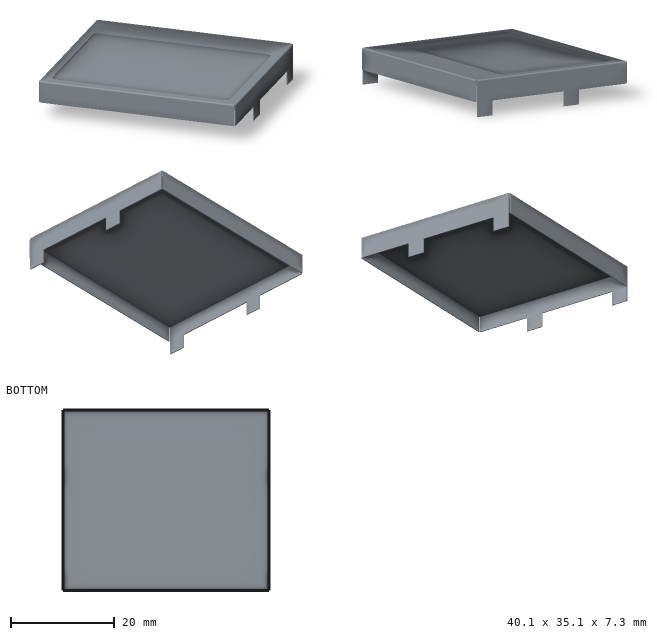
import cadquery as cq

length = 40.1
width = 35.1
height = 7.3
sheet = 0.2
bend_radius = 0.3
skirt_depth = 4.37

leg_width = 3.5
leg_pitch = 20.0
rear_leg_y = width / 2 - bend_radius - leg_width / 2
leg_centres_y = (rear_leg_y, rear_leg_y - leg_pitch)

window_margin = 1.95
window_length = length - 2 * window_margin
window_width = 26.0
window_radius = 1.0
window_y = -width / 2 + window_margin + window_width / 2

panel_thickness = 1.0
panel_length = length - 2 * bend_radius
panel_width = width - 2 * bend_radius

skirt_bottom = height - skirt_depth
ceiling = height - sheet
cavity_length = length - 2 * sheet
cavity_width = width - 2 * sheet


def block(size_x, size_y, bottom, top, y=0.0):
    """Box centred on X, between two heights."""
    return (
        cq.Workplane("XY", origin=(0, y, bottom))
        .rect(size_x, size_y)
        .extrude(top - bottom)
    )


def make_shell():
    """Folded tray, open below, with rounded bends and notched corners."""
    shell = block(length, width, skirt_bottom, height).faces(">Z").edges().fillet(bend_radius)
    cavity = block(cavity_length, cavity_width, skirt_bottom, ceiling)
    notches = (
        cq.Workplane("XY", origin=(0, 0, skirt_bottom))
        .rect(length, width, forConstruction=True)
        .vertices()
        .rect(2 * bend_radius, 2 * bend_radius)
        .extrude(skirt_depth)
    )
    return shell.cut(cavity).cut(notches)


def make_leg_pair(y):
    """Opposite legs, flush with both faces of the side walls."""
    legs = block(length, leg_width, 0, skirt_bottom, y)
    return legs.cut(block(cavity_length, leg_width, 0, skirt_bottom, y))


def make_cover():
    cover = make_shell()
    for y in leg_centres_y:
        cover = cover.union(make_leg_pair(y))
    window = block(window_length, window_width, ceiling, height, window_y)
    return cover.cut(window.edges("|Z").fillet(window_radius))


def make_panel():
    """Flat panel behind the window, set in to stay clear of the corner notches."""
    return block(panel_length, panel_width, ceiling - panel_thickness, ceiling)


cover = make_cover()
panel = make_panel()
result = cq.Compound.makeCompound([cover.val(), panel.val()])